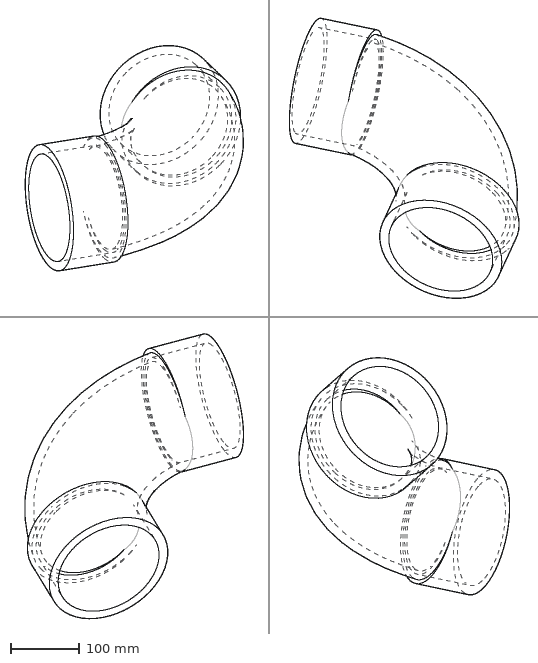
import cadquery as cq

overall_length = 389.0
socket_diameter = 188.0
socket_bore = 160.0
socket_length = 86.5
pipe_diameter = 178.5
pipe_bore = 152.5
bend_start = 41.5

axis_offset = overall_length - socket_diameter / 2
bend_radius = axis_offset - bend_start


def both_ports(diameter, length):
    """Cylinders reaching inward from the -X and -Y open ends."""
    x_port = cq.Workplane("YZ").center(axis_offset, 0).circle(diameter / 2).extrude(length)
    y_port = cq.Workplane("XZ").center(axis_offset, 0).circle(diameter / 2).extrude(-length)
    return x_port, y_port


def bend(diameter):
    """Quarter torus joining the two port axes."""
    return (
        cq.Workplane("YZ", origin=(bend_start, axis_offset, 0))
        .circle(diameter / 2)
        .revolve(90, (-bend_radius, 0, 0), (-bend_radius, -1, 0))
    )


result = bend(pipe_diameter)
for socket in both_ports(socket_diameter, socket_length):
    result = result.union(socket)

result = result.cut(bend(pipe_bore))
for bore in both_ports(socket_bore, socket_length):
    result = result.cut(bore)